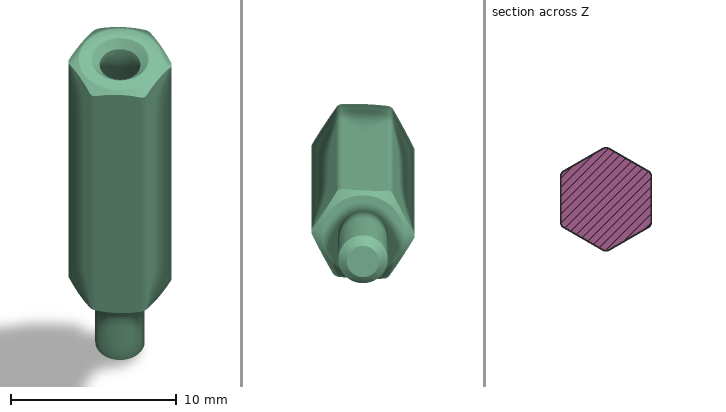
import cadquery as cq
import math

total_length = 26.0
body_length = 20.0
across_flats = 5.5
corner_radius = 0.4
body_end_diameter = 5.0
body_chamfer_angle = 30.0
stud_diameter = 3.0
stud_chamfer = 0.52
hole_diameter = 2.47
hole_depth = 10.0
drill_tip_angle = 118.0
countersink_diameter = 3.43

stud_length = total_length - body_length
across_corners = across_flats / math.cos(math.radians(30))
end_radius = body_end_diameter / 2
corner_reach = across_corners / 2
chamfer_height = (corner_reach - end_radius) * math.tan(math.radians(body_chamfer_angle))
hole_radius = hole_diameter / 2
countersink_radius = countersink_diameter / 2
countersink_depth = countersink_radius - hole_radius
drill_tip_height = hole_radius / math.tan(math.radians(drill_tip_angle / 2))


def revolve_profile(points):
    """Revolve a closed (radius, height) outline about the Z axis."""
    return cq.Workplane("XZ").polyline(points).close().revolve(360, (0, 0), (0, 1))


def make_body():
    """Hexagonal spacer with rounded edges and conically chamfered ends."""
    hexagon = (
        cq.Workplane("XY")
        .polygon(6, across_corners)
        .extrude(body_length)
        .edges("|Z")
        .fillet(corner_radius)
        .rotate((0, 0, 0), (0, 0, 1), 30)
    )
    chamfer_envelope = revolve_profile([
        (0, 0),
        (end_radius, 0),
        (corner_reach, chamfer_height),
        (corner_reach, body_length - chamfer_height),
        (end_radius, body_length),
        (0, body_length),
    ])
    return hexagon.intersect(chamfer_envelope)


def make_stud():
    """Round stud below the body with a chamfered tip."""
    return (
        cq.Workplane("XY")
        .circle(stud_diameter / 2)
        .extrude(-stud_length)
        .faces("<Z")
        .chamfer(stud_chamfer)
    )


def make_hole():
    """Countersunk blind hole with a conical drill tip."""
    hole_floor = body_length - hole_depth
    return revolve_profile([
        (0, body_length),
        (countersink_radius, body_length),
        (hole_radius, body_length - countersink_depth),
        (hole_radius, hole_floor),
        (0, hole_floor - drill_tip_height),
    ])


result = make_body().union(make_stud()).cut(make_hole())